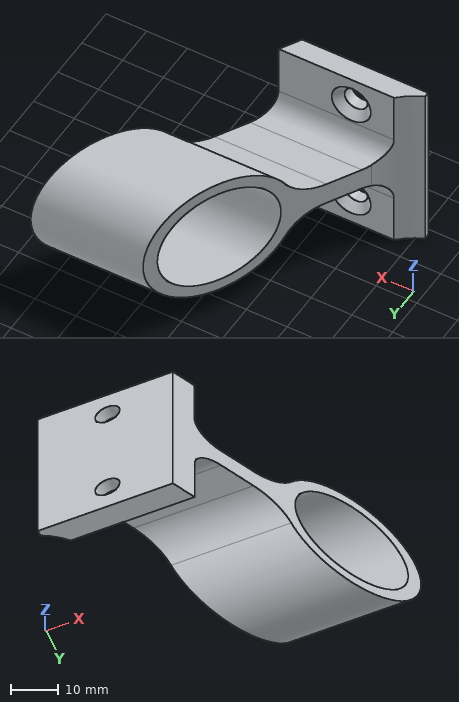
import cadquery as cq
import math

length = 63.9
depth = 57.0
height = 43.0

plate_thickness = 5.0
ring_radius = 16.0
bore_radius = 13.0
web_thickness = 5.6
plate_fillet = 6.0
ring_fillet = 10.0

slant = math.radians(30)
ring_length = 27.6
toe_height = 1.3
toe_curve_start = 9.15
toe_radius = 20.0

hole_diameter = 5.6
hole_x = 16.0
hole_spacing = 28.0
straight_hole_depth = 3.0

half_web = web_thickness / 2
ring_y = depth - ring_radius


def web_side(side):
    """Web half on one side of Z = 0, blended tangentially into plate and ring."""
    fillet_z = half_web + plate_fillet
    fillet_y = plate_thickness + plate_fillet
    blend_z = half_web + ring_fillet
    centre_distance = ring_radius + ring_fillet
    blend_y = ring_y - math.sqrt(centre_distance**2 - blend_z**2)
    ring_share = ring_radius / centre_distance
    contact_y = ring_y + (blend_y - ring_y) * ring_share
    contact_z = blend_z * ring_share
    diagonal = math.sqrt(0.5)
    fillet_mid = (fillet_y - plate_fillet * diagonal, side * (fillet_z - plate_fillet * diagonal))
    half_turn = math.atan2(contact_y - blend_y, blend_z - contact_z) / 2
    blend_mid = (
        blend_y + ring_fillet * math.sin(half_turn),
        side * (blend_z - ring_fillet * math.cos(half_turn)),
    )
    return (
        cq.Workplane("YZ")
        .moveTo(0, 0)
        .lineTo(0, side * fillet_z)
        .lineTo(plate_thickness, side * fillet_z)
        .threePointArc(fillet_mid, (fillet_y, side * half_web))
        .lineTo(blend_y, side * half_web)
        .threePointArc(blend_mid, (contact_y, side * contact_z))
        .lineTo(ring_y, 0)
        .close()
        .extrude(length)
    )


def section_bar():
    """Plate, web and tube extruded along X over the full length."""
    bar = cq.Workplane("XY").box(length, plate_thickness, height, centered=(False, False, True))
    bar = bar.union(cq.Workplane("YZ").center(ring_y, 0).circle(ring_radius).extrude(length))
    for side in (1, -1):
        bar = bar.union(web_side(side))
    bore = cq.Workplane("YZ").center(ring_y, 0).circle(bore_radius).extrude(length)
    return bar.cut(bore)


def plan_prism():
    """Slanted plan outline with the curved toe, through the full height."""
    base_right = length - depth * math.tan(slant)
    left_top = length - ring_length
    curve_x = left_top - (depth - toe_curve_start) * math.tan(slant)
    centre_x = curve_x - toe_radius * math.cos(slant)
    centre_y = toe_curve_start + toe_radius * math.sin(slant)
    end_angle = math.atan2(toe_height - centre_y, -centre_x)
    mid_angle = (end_angle - slant) / 2
    curve_mid = (
        centre_x + toe_radius * math.cos(mid_angle),
        centre_y + toe_radius * math.sin(mid_angle),
    )
    return (
        cq.Workplane("XY")
        .moveTo(0, 0)
        .lineTo(base_right, 0)
        .lineTo(length, depth)
        .lineTo(left_top, depth)
        .lineTo(curve_x, toe_curve_start)
        .threePointArc(curve_mid, (0, toe_height))
        .close()
        .extrude(height / 2, both=True)
    )


def screw_hole(z):
    """Round hole along Y, opening as a 90 degree countersink on the inner plate face."""
    hole_radius = hole_diameter / 2
    sink_radius = hole_radius + plate_thickness - straight_hole_depth
    return (
        cq.Workplane("XY")
        .moveTo(0, 0)
        .lineTo(hole_radius, 0)
        .lineTo(hole_radius, straight_hole_depth)
        .lineTo(sink_radius, plate_thickness)
        .lineTo(0, plate_thickness)
        .close()
        .revolve(360, (0, 0, 0), (0, 1, 0))
        .translate((hole_x, 0, z))
    )


result = section_bar().intersect(plan_prism())
for hole_z in (hole_spacing / 2, -hole_spacing / 2):
    result = result.cut(screw_hole(hole_z))